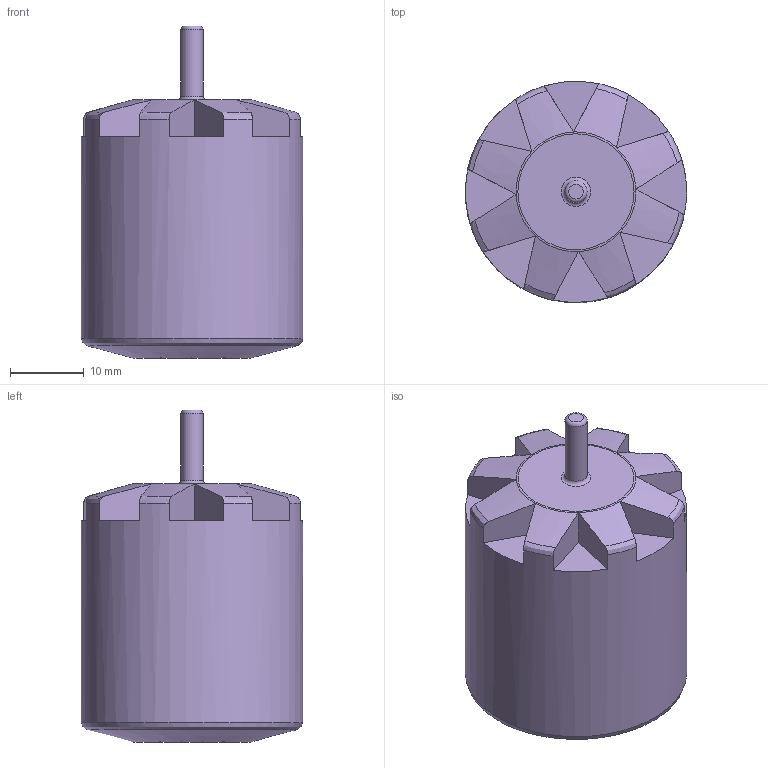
import cadquery as cq
import math

body_radius = 15.0
body_height = 35.0
flat_radius = 8.0
cone_angle = 15.0
edge_fillet = 1.0

shaft_radius = 1.5
shaft_length = 10.0
shaft_fillet = 0.5

notch_count = 8
notch_depth = 5.0
notch_apex_radius = 8.1
notch_angle = 60.0
notch_start_angle = 2.4

cone_height = (body_radius - flat_radius) * math.tan(math.radians(cone_angle))
shaft_top = body_height + shaft_length


def make_body():
    """Turned body with rounded cone edges at both ends."""
    profile = (
        cq.Workplane("XZ")
        .moveTo(0, 0)
        .lineTo(flat_radius, 0)
        .lineTo(body_radius, cone_height)
        .lineTo(body_radius, body_height - cone_height)
        .lineTo(flat_radius, body_height)
        .lineTo(0, body_height)
        .close()
    )
    body = profile.revolve(360, (0, 0, 0), (0, 1, 0))
    return body.edges("%CIRCLE").fillet(edge_fillet)


def make_shaft():
    """Turned shaft with a rounded tip and a concave fillet at its root."""
    tip_flat_radius = shaft_radius - shaft_fillet
    root_radius = shaft_radius + shaft_fillet
    profile = (
        cq.Workplane("XZ")
        .moveTo(0, body_height)
        .lineTo(root_radius, body_height)
        .radiusArc((shaft_radius, body_height + shaft_fillet), shaft_fillet)
        .lineTo(shaft_radius, shaft_top - shaft_fillet)
        .radiusArc((tip_flat_radius, shaft_top), -shaft_fillet)
        .lineTo(0, shaft_top)
        .close()
    )
    return profile.revolve(360, (0, 0, 0), (0, 1, 0))


def make_notch(direction):
    """Triangular cutter opening outward from its apex in the given direction."""
    outer_x = body_radius + edge_fillet
    half_width = (outer_x - notch_apex_radius) * math.tan(math.radians(notch_angle / 2))
    return (
        cq.Workplane("XY")
        .workplane(offset=body_height - notch_depth)
        .polyline([
            (notch_apex_radius, 0),
            (outer_x, -half_width),
            (outer_x, half_width),
        ])
        .close()
        .extrude(notch_depth)
        .rotate((0, 0, 0), (0, 0, 1), direction)
    )


result = make_body()
for index in range(notch_count):
    result = result.cut(make_notch(notch_start_angle + index * 360 / notch_count))
result = result.union(make_shaft())